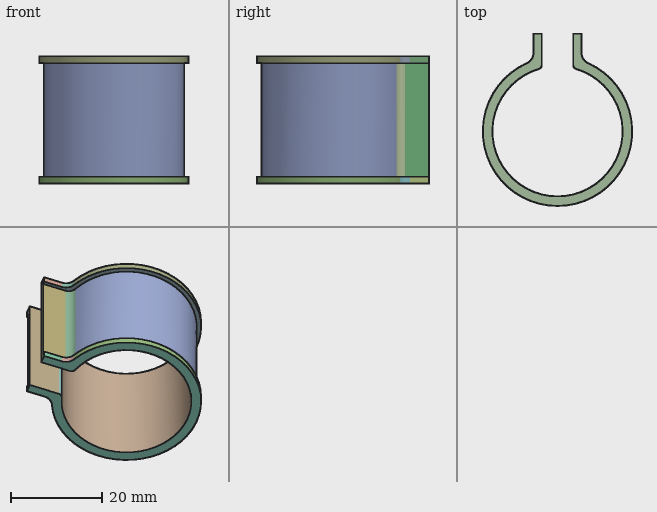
import cadquery as cq
import math

length = 37.85
height = 28.0
rim_height = 1.55

bore_radius = 14.27
band_radius = 15.45
rim_radius = 16.45

gap_half = 3.4
band_tab_half = 4.58
rim_tab_half = 5.3
tab_end = length - rim_radius

bore_corner = 1.0
band_corner = 2.0
rim_corner = 2.45


def corner_arc(ring_radius, face_x, corner):
    """Start, middle and end of an arc blending a tab face into a ring circle.

    The arc lies outside the circle and is tangent to both the circle and the face.
    """
    center_x = face_x + corner
    center_y = math.sqrt((ring_radius + corner) ** 2 - center_x ** 2)
    ring_angle = math.atan2(center_y, center_x) + math.pi
    middle_angle = (math.pi + ring_angle) / 2

    def point_at(angle):
        return (center_x + corner * math.cos(angle), center_y + corner * math.sin(angle))

    return point_at(math.pi), point_at(middle_angle), point_at(ring_angle)


def mirrored(point):
    return (-point[0], point[1])


def clamp_layer(outer_radius, tab_half, outer_corner, layer_height):
    """Split ring with two tabs, standing on Z = 0."""
    outer_face, outer_middle, outer_ring = corner_arc(outer_radius, tab_half, outer_corner)
    inner_face, inner_middle, inner_ring = corner_arc(bore_radius, gap_half, bore_corner)
    return (
        cq.Workplane("XY")
        .moveTo(gap_half, tab_end)
        .lineTo(tab_half, tab_end)
        .lineTo(*outer_face)
        .threePointArc(outer_middle, outer_ring)
        .threePointArc((0, -outer_radius), mirrored(outer_ring))
        .threePointArc(mirrored(outer_middle), mirrored(outer_face))
        .lineTo(-tab_half, tab_end)
        .lineTo(-gap_half, tab_end)
        .lineTo(*mirrored(inner_face))
        .threePointArc(mirrored(inner_middle), mirrored(inner_ring))
        .threePointArc((0, -bore_radius), inner_ring)
        .threePointArc(inner_middle, inner_face)
        .close()
        .extrude(layer_height)
    )


result = clamp_layer(band_radius, band_tab_half, band_corner, height)
rim = clamp_layer(rim_radius, rim_tab_half, rim_corner, rim_height)
for rim_base in (0, height - rim_height):
    result = result.union(rim.translate((0, 0, rim_base)))